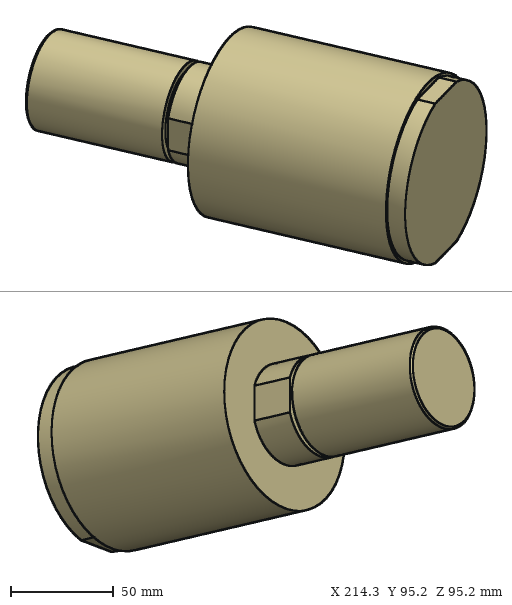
import cadquery as cq

shaft_end = 73.7
groove_end = 76.3
body_start = 98.2
body_end = 204.7
total_length = 214.3

shaft_diameter = 50.8
groove_diameter = 43.3
body_diameter = 95.2
cap_diameter = 92.2

collar_across_flats = 47.5
cap_across_flats = 89.0

shaft_chamfer = 1.0


def cylinder(start, end, diameter):
    """Solid cylinder along X between two positions."""
    return cq.Workplane("YZ").workplane(offset=start).circle(diameter / 2).extrude(end - start)


def flat_limits(start, end, size_y, size_z):
    """Block centred on the axis, used to trim flats on a cylinder."""
    return cq.Workplane("YZ").workplane(offset=start).rect(size_y, size_z).extrude(end - start)


shaft = cylinder(0, shaft_end, shaft_diameter).faces("<X").chamfer(shaft_chamfer)
groove = cylinder(shaft_end, groove_end, groove_diameter)

collar = cylinder(groove_end, body_start, shaft_diameter).intersect(
    flat_limits(groove_end, body_start, collar_across_flats, shaft_diameter)
)

body = cylinder(body_start, body_end, body_diameter)

cap = cylinder(body_end, total_length, cap_diameter)
cap = cap.intersect(flat_limits(body_end, total_length, cap_diameter, cap_across_flats))

result = shaft.union(groove).union(collar).union(body).union(cap)